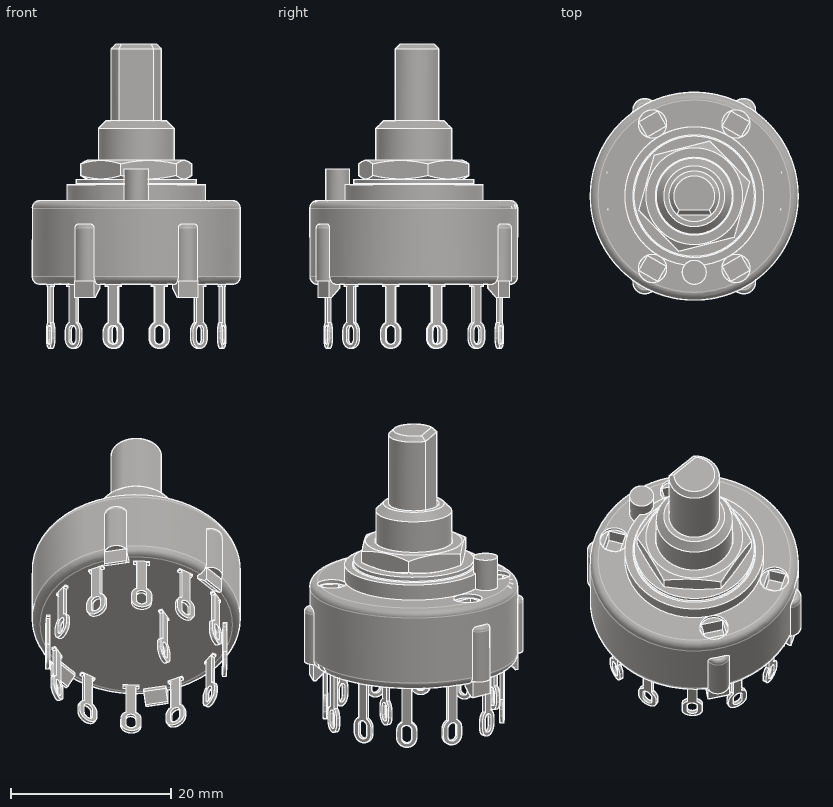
import cadquery as cq
import math


OVERALL_HEIGHT = 38

BODY_DIAMETER = 26.0
BODY_RADIUS = BODY_DIAMETER / 2
BODY_HEIGHT = 10.5
BODY_ROUNDING = 1.0

COLLAR_DIAMETER = 17.33
COLLAR_TOP = 12.45
RECESS_DIAMETER = 15.3
RECESS_DEPTH = 0.2
WASHER_DIAMETER = 15.0
WASHER_BOTTOM = 12.58
WASHER_TOP = 13.1
HUB_DIAMETER = 10.25

NUT_WIDTH = 12.4
NUT_TOP = 15.55
NUT_ANGLE = 14.3
NUT_FACE_DIAMETER = 12.1
NUT_CHAMFER_ANGLE = 24

BUSHING_DIAMETER = 9.5
NUT_BORE_DIAMETER = 9.73
BUSHING_TOP = 20.45
BUSHING_CHAMFER = 0.95
SHAFT_DIAMETER = 6.3
SHAFT_TOP = 30.02
SHAFT_CHAMFER = 0.6
SHAFT_FLAT_OFFSET = 2.3
SHAFT_FLAT_BOTTOM = BUSHING_TOP - 1.52

PIN_DIAMETER = 3.0
PIN_DISTANCE = 9.5
PIN_TOP = 14.45

LATCH_ANGLES = (60, 120, 240, 300)
POCKET_DIAMETER = 3.55
POCKET_DISTANCE = 10.4
POCKET_DEPTH = 0.5
WINDOW_WIDTH = 2.75
WINDOW_LENGTH = 2.15
WINDOW_DEPTH = 2.65
RIB_DIAMETER = 3.0
RIB_DISTANCE = 12.35
RIB_BOTTOM = 0.45
RIB_TOP = 7.55
RIB_ROUNDING = 0.55
CLIP_WIDTH = 2.8
CLIP_BOTTOM = -1.65
CLIP_TIP_LENGTH = 0.35
HOOK_LENGTH = 1.52
HOOK_BOTTOM = CLIP_BOTTOM + HOOK_LENGTH - CLIP_TIP_LENGTH

TERMINAL_COUNT = 12
TERMINAL_DISTANCE = 11.05
COMMON_DISTANCE = 3.85
COMMON_ANGLE = 135
TERMINAL_BOTTOM = SHAFT_TOP - OVERALL_HEIGHT
TERMINAL_THICKNESS = 0.45
STEM_WIDTH = 1.2
SHOULDER_WIDTH = 1.98
SHOULDER_HEIGHT = 0.23
EYE_WIDTH = 2.55
EYE_HEIGHT = 3.4
EYE_HOLE_WIDTH = 1.25
EYE_HOLE_HEIGHT = 2.35

EMBED = 0.75


def disc(diameter, bottom, top):
    return cq.Workplane("XY").workplane(offset=bottom).circle(diameter / 2).extrude(top - bottom)


def at_station(shape, angle):
    """Turn a shape built on the +X side to its place around the axis."""
    return shape.rotate((0, 0, 0), (0, 0, 1), angle)


def make_body():
    body = disc(BODY_DIAMETER, 0, BODY_HEIGHT).edges().fillet(BODY_ROUNDING)
    collar = disc(COLLAR_DIAMETER, BODY_HEIGHT - EMBED, COLLAR_TOP)
    pin = disc(PIN_DIAMETER, BODY_HEIGHT - EMBED, PIN_TOP).translate((0, -PIN_DISTANCE, 0))
    recess = disc(RECESS_DIAMETER, COLLAR_TOP - RECESS_DEPTH, COLLAR_TOP)
    return body.union(collar).cut(recess).union(pin)


def make_nut():
    corner_diameter = NUT_WIDTH / math.cos(math.radians(30))
    height = NUT_TOP - WASHER_TOP
    nut = cq.Workplane("XY").workplane(offset=WASHER_TOP).polygon(6, corner_diameter).extrude(height)
    nut = nut.rotate((0, 0, 0), (0, 0, 1), NUT_ANGLE)
    face_radius = NUT_FACE_DIAMETER / 2
    corner_radius = corner_diameter / 2
    chamfer_height = (corner_radius - face_radius) * math.tan(math.radians(NUT_CHAMFER_ANGLE))
    envelope = (
        cq.Workplane("XZ")
        .moveTo(0, WASHER_TOP)
        .lineTo(face_radius, WASHER_TOP)
        .lineTo(corner_radius, WASHER_TOP + chamfer_height)
        .lineTo(corner_radius, NUT_TOP - chamfer_height)
        .lineTo(face_radius, NUT_TOP)
        .lineTo(0, NUT_TOP)
        .close()
        .revolve()
    )
    return nut.intersect(envelope).cut(disc(NUT_BORE_DIAMETER, WASHER_TOP, NUT_TOP))


def make_bushing():
    """Bushing with a bore that leaves the shaft flat open below its rim."""
    bushing = disc(BUSHING_DIAMETER, WASHER_TOP - EMBED, BUSHING_TOP).faces(">Z").chamfer(BUSHING_CHAMFER)
    return bushing.faces(">Z").workplane().hole(SHAFT_DIAMETER, BUSHING_TOP - SHAFT_FLAT_BOTTOM)


def make_shaft():
    shaft = disc(SHAFT_DIAMETER, SHAFT_FLAT_BOTTOM - EMBED, SHAFT_TOP)
    flat = (
        cq.Workplane("XY")
        .workplane(offset=SHAFT_FLAT_BOTTOM)
        .center(0, -SHAFT_FLAT_OFFSET - SHAFT_DIAMETER / 2)
        .rect(2 * SHAFT_DIAMETER, SHAFT_DIAMETER)
        .extrude(SHAFT_TOP - SHAFT_FLAT_BOTTOM)
    )
    return shaft.cut(flat).faces(">Z").chamfer(SHAFT_CHAMFER)


def make_pocket():
    """Shallow round pocket with a deeper rectangular window in its floor."""
    pocket = disc(POCKET_DIAMETER, BODY_HEIGHT - POCKET_DEPTH, BODY_HEIGHT)
    window = (
        cq.Workplane("XY")
        .workplane(offset=BODY_HEIGHT - WINDOW_DEPTH)
        .rect(WINDOW_LENGTH, WINDOW_WIDTH)
        .extrude(WINDOW_DEPTH)
    )
    return pocket.union(window).translate((POCKET_DISTANCE, 0, 0))


def make_latch():
    """Rounded rib on the body wall, with a hooked clip below it."""
    rib = disc(RIB_DIAMETER, RIB_BOTTOM, RIB_TOP).faces(">Z").edges().fillet(RIB_ROUNDING)
    rib = rib.translate((RIB_DISTANCE, 0, 0))
    clip = (
        cq.Workplane("XZ")
        .moveTo(BODY_RADIUS, RIB_BOTTOM)
        .lineTo(BODY_RADIUS, CLIP_BOTTOM)
        .lineTo(BODY_RADIUS - CLIP_TIP_LENGTH, CLIP_BOTTOM)
        .lineTo(BODY_RADIUS - HOOK_LENGTH, HOOK_BOTTOM)
        .lineTo(BODY_RADIUS - HOOK_LENGTH, RIB_BOTTOM)
        .close()
        .extrude(CLIP_WIDTH / 2, both=True)
    )
    return rib.union(clip)


def make_terminal(distance):
    """Flat solder terminal: shoulder, stem and an eye with rounded ends."""

    def plate(width, bottom, top):
        return (
            cq.Workplane("YZ")
            .center(0, (bottom + top) / 2)
            .rect(width, top - bottom)
            .extrude(TERMINAL_THICKNESS / 2, both=True)
        )

    def oval(width, height):
        return (
            cq.Workplane("YZ")
            .center(0, eye_center)
            .slot2D(height, width, 90)
            .extrude(TERMINAL_THICKNESS / 2, both=True)
        )

    eye_center = TERMINAL_BOTTOM + EYE_HEIGHT / 2
    terminal = plate(SHOULDER_WIDTH, -SHOULDER_HEIGHT, EMBED)
    terminal = terminal.union(plate(STEM_WIDTH, eye_center, EMBED))
    terminal = terminal.union(oval(EYE_WIDTH, EYE_HEIGHT))
    terminal = terminal.cut(oval(EYE_HOLE_WIDTH, EYE_HOLE_HEIGHT))
    return terminal.translate((distance, 0, 0))


hub = disc(HUB_DIAMETER, BODY_HEIGHT, WASHER_BOTTOM)
washer = disc(WASHER_DIAMETER, WASHER_BOTTOM, WASHER_TOP)

result = make_body().union(hub).union(washer).union(make_nut()).union(make_bushing()).union(make_shaft())

for angle in LATCH_ANGLES:
    result = result.cut(at_station(make_pocket(), angle))
    result = result.union(at_station(make_latch(), angle))

terminal_pitch = 360 / TERMINAL_COUNT
for index in range(TERMINAL_COUNT):
    result = result.union(at_station(make_terminal(TERMINAL_DISTANCE), (index + 0.5) * terminal_pitch))
result = result.union(at_station(make_terminal(COMMON_DISTANCE), COMMON_ANGLE))